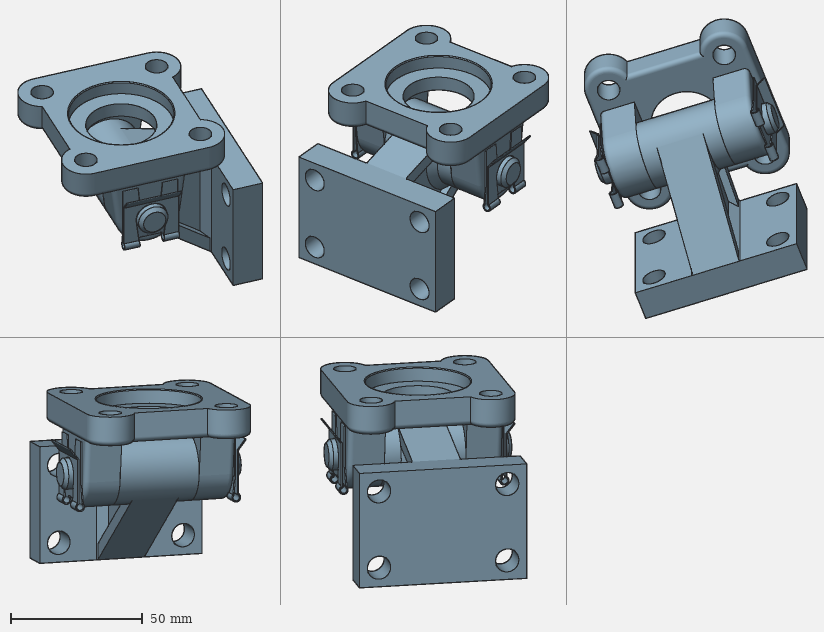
import cadquery as cq
import math


PIN_RADIUS = 6.0
PIN_HALF_LENGTH = 35.5
PIN_CHAMFER = 1.5
EYE_RADIUS = 13.0
EYE_HALF_WIDTH = 15.8

FLANGE_SIDE = 64.95
FLANGE_TOP = 27.0
FLANGE_THICKNESS = 11.3
FLANGE_EDGE_FILLET = 1.85
FLANGE_WAIST_Y = 53.0
FLANGE_HOLE_PITCH = 46.5
FLANGE_HOLE_DIAMETER = 8.5
LOBE_RADIUS = (FLANGE_SIDE - FLANGE_HOLE_PITCH) / 2
FLANGE_BOTTOM = FLANGE_TOP - FLANGE_THICKNESS
BORE_DIAMETER = 27.0
SEAT_DIAMETER = 40.0
SEAT_DEPTH = 5.5
SEAT_CHAMFER = 0.4

LEG_OUTER_X = 29.9
LEG_TAPER_DEGREES = 7.2
LEG_EDGE_FILLET = 2.0

OVERALL_DEPTH = 77.5
PLATE_WIDTH = FLANGE_SIDE
PLATE_BACK_Y = OVERALL_DEPTH - FLANGE_SIDE / 2
PLATE_THICKNESS = 12.0
PLATE_FRONT_Y = PLATE_BACK_Y - PLATE_THICKNESS
PLATE_HEIGHT = 45.0
PLATE_TOP = 4.5
PLATE_BOTTOM = PLATE_TOP - PLATE_HEIGHT
PLATE_HOLE_PITCH_X = 49.75
PLATE_HOLE_PITCH_Z = 30.0
PLATE_HOLE_DIAMETER = 9.0

WEB_HALF_WIDTH = 9.3
WEB_FOOT_CHAMFER = 0.5
PANEL_HALF_WIDTH = 6.3
RIB_HEIGHT = 4.95
PANEL_DEPTH = WEB_HALF_WIDTH - PANEL_HALF_WIDTH

CLIP_THICKNESS = 0.5
CLIP_WIDTH = 22.25
LIP_TIP_X = 34.95
LIP_TIP_Z = 11.1
OUTER_LEAF_X = 31.9
OUTER_LEAF_TOP = 7.2
INNER_LEAF_X = 30.8
INNER_LEAF_TOP = 13.8
INNER_LEAF_KNEE_Z = -2.0
INNER_LEAF_FOOT_X = LEG_OUTER_X + CLIP_THICKNESS / 2
ROLL_X = 31.2
ROLL_Z = -11.1
ROLL_RADIUS = 1.51
LEAF_SPLIT_X = 31.3
WINDOW_TOP = -9.5
WINDOW_HALF_WIDTH = 4.9
KEYHOLE_HALF_WIDTH = 6.2
FORK_SLOT_RADIUS = 3.7
FORK_SLOT_MOUTH_HALF_WIDTH = 4.95

GROOVE_INNER_X = LEG_OUTER_X
GROOVE_OUTER_X = INNER_LEAF_X + CLIP_THICKNESS / 2
GROOVE_RADIUS = FORK_SLOT_RADIUS


def x_cylinder(radius, half_length):
    """Cylinder on the pin axis, centred on the origin."""
    return cq.Workplane("YZ").circle(radius).extrude(half_length, both=True)


def polar(radius, angle):
    return (radius * math.cos(angle), radius * math.sin(angle))


def tangent_angle(y, z, radius, side):
    """Angle in YZ of the point where a line from (y, z) touches a circle about the pin axis."""
    return math.atan2(z, y) + side * math.acos(radius / math.hypot(y, z))


def flange_corners():
    """Workplane on the underside of the flange, with a point at each corner hole."""
    underside = cq.Workplane("XY", origin=(0, 0, FLANGE_BOTTOM))
    return underside.rect(FLANGE_HOLE_PITCH, FLANGE_HOLE_PITCH, forConstruction=True).vertices()


def make_flange():
    underside = cq.Workplane("XY", origin=(0, 0, FLANGE_BOTTOM))
    wide_strip = underside.rect(FLANGE_SIDE, FLANGE_HOLE_PITCH).extrude(FLANGE_THICKNESS)
    waist = underside.rect(FLANGE_HOLE_PITCH, FLANGE_WAIST_Y).extrude(FLANGE_THICKNESS)
    lobes = flange_corners().circle(LOBE_RADIUS).extrude(FLANGE_THICKNESS)
    flange = wide_strip.union(waist).union(lobes)
    flange = flange.faces("<Z").edges().fillet(FLANGE_EDGE_FILLET)

    seat_radius = SEAT_DIAMETER / 2
    seat_z = FLANGE_TOP - SEAT_DEPTH
    bore = (
        cq.Workplane("XZ")
        .moveTo(0, FLANGE_BOTTOM)
        .lineTo(BORE_DIAMETER / 2, FLANGE_BOTTOM)
        .lineTo(BORE_DIAMETER / 2, seat_z)
        .lineTo(seat_radius, seat_z)
        .lineTo(seat_radius, FLANGE_TOP - SEAT_CHAMFER)
        .lineTo(seat_radius + SEAT_CHAMFER, FLANGE_TOP)
        .lineTo(0, FLANGE_TOP)
        .close()
        .revolve(360, (0, 0, 0), (0, 1, 0))
    )
    holes = flange_corners().circle(FLANGE_HOLE_DIAMETER / 2).extrude(FLANGE_THICKNESS)
    return flange.cut(bore).cut(holes)


def make_leg(side):
    """Leg on the side +1 or -1 in X: a tapered tongue, tangent to a round end about the pin axis."""
    taper = math.radians(LEG_TAPER_DEGREES)
    tangent_y, tangent_z = polar(EYE_RADIUS, -taper)
    top_y = tangent_y + (FLANGE_BOTTOM - tangent_z) * math.tan(taper)
    leg = (
        cq.Workplane("YZ", origin=(side * EYE_HALF_WIDTH, 0, 0))
        .moveTo(-top_y, FLANGE_BOTTOM)
        .lineTo(-tangent_y, tangent_z)
        .threePointArc((0, -EYE_RADIUS), (tangent_y, tangent_z))
        .lineTo(top_y, FLANGE_BOTTOM)
        .close()
        .extrude(side * (LEG_OUTER_X - EYE_HALF_WIDTH))
    )
    outer_face = leg.faces(">X" if side > 0 else "<X")
    return outer_face.edges("not(>Z)").fillet(LEG_EDGE_FILLET)


def make_fork(clips):
    fork = make_flange().union(make_leg(-1)).union(make_leg(1))
    fork = fork.cut(x_cylinder(PIN_RADIUS, LEG_OUTER_X))
    for clip in clips:
        fork = fork.cut(clip)
    return fork


def make_wall_plate():
    plate = cq.Workplane("XY").box(
        PLATE_WIDTH, PLATE_THICKNESS, PLATE_HEIGHT, centered=(True, False, False)
    )
    plate = plate.translate((0, PLATE_FRONT_Y, PLATE_BOTTOM))
    middle_z = PLATE_BOTTOM + PLATE_HEIGHT / 2
    holes = cq.Workplane("XZ", origin=(0, PLATE_FRONT_Y, middle_z))
    holes = holes.rect(PLATE_HOLE_PITCH_X, PLATE_HOLE_PITCH_Z, forConstruction=True).vertices()
    return plate.cut(holes.circle(PLATE_HOLE_DIAMETER / 2).extrude(-PLATE_THICKNESS))


def wedge(rib_height):
    """Side shape of the web, spread from the eye to the plate, lowered by rib_height all round."""
    upper = tangent_angle(PLATE_FRONT_Y, PLATE_TOP, EYE_RADIUS, 1)
    lower = tangent_angle(PLATE_FRONT_Y, PLATE_BOTTOM, EYE_RADIUS, -1)
    radius = EYE_RADIUS - rib_height
    plate_top = PLATE_TOP - rib_height / math.sin(upper)
    plate_bottom = PLATE_BOTTOM - rib_height / math.sin(lower)
    return (
        cq.Workplane("YZ")
        .polyline([
            (0, 0),
            polar(radius, upper),
            (PLATE_FRONT_Y, plate_top),
            (PLATE_FRONT_Y, plate_bottom),
            polar(radius, lower),
        ])
        .close()
        .extrude(PLATE_WIDTH / 2, both=True)
    )


def footed_slab(half_width, chamfer):
    """Upright slab from under the eye to the plate, spreading at 45 degrees where it meets the plate."""
    foot_x = half_width + chamfer
    foot_y = PLATE_FRONT_Y - chamfer
    return (
        cq.Workplane("XY", origin=(0, 0, PLATE_BOTTOM))
        .polyline([
            (-half_width, -EYE_RADIUS),
            (half_width, -EYE_RADIUS),
            (half_width, foot_y),
            (foot_x, PLATE_FRONT_Y),
            (-foot_x, PLATE_FRONT_Y),
            (-half_width, foot_y),
        ])
        .close()
        .extrude(PLATE_HEIGHT + EYE_RADIUS)
    )


def collared_eye():
    """Middle of the eye with 45 degree collars running out onto both faces of the panel."""
    collar_radius = EYE_RADIUS + PANEL_DEPTH
    return (
        cq.Workplane("XY")
        .polyline([
            (-WEB_HALF_WIDTH, 0),
            (-WEB_HALF_WIDTH, EYE_RADIUS),
            (-PANEL_HALF_WIDTH, collar_radius),
            (PANEL_HALF_WIDTH, collar_radius),
            (WEB_HALF_WIDTH, EYE_RADIUS),
            (WEB_HALF_WIDTH, 0),
        ])
        .close()
        .revolve(360, (0, 0, 0), (1, 0, 0))
    )


def make_bracket():
    eye = x_cylinder(EYE_RADIUS, EYE_HALF_WIDTH)
    web = footed_slab(WEB_HALF_WIDTH, WEB_FOOT_CHAMFER).intersect(wedge(0))
    panel = footed_slab(PANEL_HALF_WIDTH, PANEL_DEPTH + WEB_FOOT_CHAMFER)
    pocket = wedge(RIB_HEIGHT).cut(panel).cut(collared_eye())
    bracket = make_wall_plate().union(web.cut(pocket)).union(eye)
    return bracket.cut(x_cylinder(PIN_RADIUS, EYE_HALF_WIDTH))


def make_pin():
    pin = x_cylinder(PIN_RADIUS, PIN_HALF_LENGTH).faces("<X or >X").chamfer(PIN_CHAMFER)
    groove = (
        cq.Workplane("YZ", origin=(GROOVE_INNER_X, 0, 0))
        .circle(PIN_RADIUS)
        .circle(GROOVE_RADIUS)
        .extrude(GROOVE_OUTER_X - GROOVE_INNER_X)
    )
    return pin.cut(groove).cut(groove.mirror("YZ"))


def make_clip():
    """Strip folded around a roll: an outer leaf with a lip and an inner leaf forked over the pin."""
    outer_rise = math.sqrt(ROLL_RADIUS**2 - (OUTER_LEAF_X - ROLL_X) ** 2)
    inner_rise = math.sqrt(ROLL_RADIUS**2 - (INNER_LEAF_FOOT_X - ROLL_X) ** 2)
    clip = (
        cq.Workplane("XZ", origin=(0, CLIP_WIDTH / 2, 0))
        .moveTo(LIP_TIP_X, LIP_TIP_Z)
        .lineTo(OUTER_LEAF_X, OUTER_LEAF_TOP)
        .lineTo(OUTER_LEAF_X, ROLL_Z + outer_rise)
        .threePointArc((ROLL_X, ROLL_Z - ROLL_RADIUS), (INNER_LEAF_FOOT_X, ROLL_Z + inner_rise))
        .lineTo(INNER_LEAF_X, INNER_LEAF_KNEE_Z)
        .lineTo(INNER_LEAF_X, INNER_LEAF_TOP)
        .offset2D(CLIP_THICKNESS / 2)
        .extrude(CLIP_WIDTH)
    )

    reach = LIP_TIP_X - LEAF_SPLIT_X
    keyhole = (
        cq.Workplane("YZ", origin=(LEAF_SPLIT_X, 0, 0))
        .moveTo(-KEYHOLE_HALF_WIDTH, 0)
        .threePointArc((0, KEYHOLE_HALF_WIDTH), (KEYHOLE_HALF_WIDTH, 0))
        .lineTo(WINDOW_HALF_WIDTH, ROLL_Z)
        .lineTo(-WINDOW_HALF_WIDTH, ROLL_Z)
        .close()
        .extrude(reach)
    )

    slot_top = INNER_LEAF_TOP + CLIP_THICKNESS
    fork_slot = (
        cq.Workplane("YZ", origin=(LEAF_SPLIT_X, 0, 0))
        .moveTo(-FORK_SLOT_RADIUS, 0)
        .threePointArc((0, -FORK_SLOT_RADIUS), (FORK_SLOT_RADIUS, 0))
        .lineTo(FORK_SLOT_MOUTH_HALF_WIDTH, slot_top)
        .lineTo(-FORK_SLOT_MOUTH_HALF_WIDTH, slot_top)
        .close()
        .extrude(-(LEAF_SPLIT_X - LEG_OUTER_X))
    )

    window_depth = 2 * (ROLL_RADIUS + CLIP_THICKNESS)
    window = cq.Workplane("XY", origin=(ROLL_X, 0, WINDOW_TOP))
    window = window.rect(window_depth, 2 * WINDOW_HALF_WIDTH).extrude(-window_depth)
    return clip.cut(keyhole).cut(fork_slot).cut(window)


right_clip = make_clip()
clips = [right_clip, right_clip.mirror("YZ")]
fork = make_fork(clips)
bracket = make_bracket()
pin = make_pin()

result = cq.Compound.makeCompound(
    [body.solids().val() for body in (fork, bracket, pin, *clips)]
)